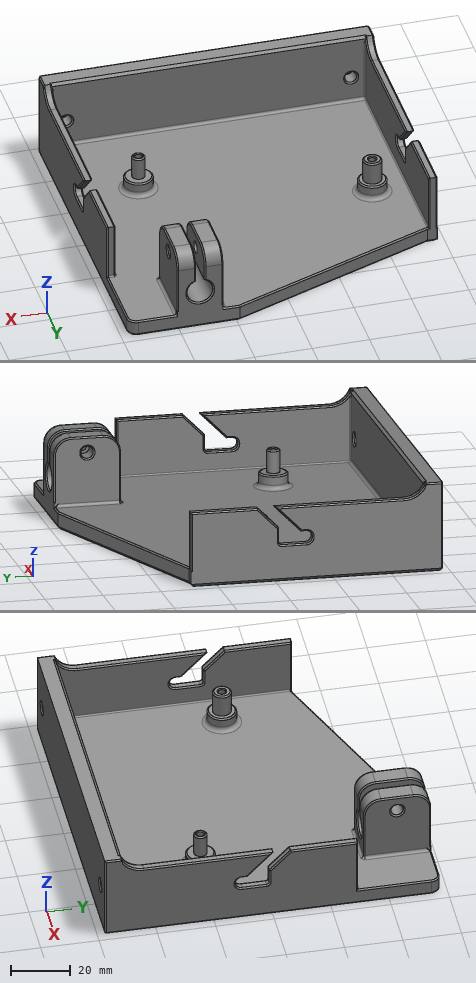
import cadquery as cq
import math

SIZE = 115.0
FLOOR_THICKNESS = 6.0
SLANT_END_X = 76.5
REAR_CORNER_RADIUS = 3.2
BOTTOM_CHAMFER = 1.0
EDGE_BREAK = 0.5

FRONT_HEIGHT = 31.0
FRONT_THICKNESS = 6.0
FRONT_TOP_CHAMFER = 0.9
FRONT_FILLET = 1.0
SCREW_HOLE_DIAMETER = 4.3
SCREW_HOLE_INSET = 7.9
SCREW_HOLE_Z = 15.3

SIDE_HEIGHT = 26.0
SIDE_THICKNESS = 3.0
SIDE_END_Y = 86.6
SIDE_FILLET = 0.5
SHOULDER_START_Y = 13.2
SHOULDER_RADIUS = 8.0

NOTCH_ENTRY_FRONT_Y = 57.6
NOTCH_ENTRY_WIDTH = 6.0
NOTCH_BACK_Y = 56.4
NOTCH_FLOOR_Z = 12.8
NOTCH_CORNER_RADIUS = 1.0
NOTCH_END_RADIUS = 2.2
NOTCH_END_Y = 46.9

LUG_WIDTH = 16.0
LUG_LENGTH = 23.0
LUG_HEIGHT = 29.9
LUG_CENTER_X = 90.3
LUG_CENTER_Y = SIZE - LUG_LENGTH / 2
LUG_RADIUS = 6.0
LUG_FILLET = 1.0
LUG_SLOT_WIDTH = 3.0
LUG_BORE_DIAMETER = 9.0
LUG_BORE_Z = 14.3
PIN_HOLE_DIAMETER = 4.3
PIN_HOLE_Z = 24.4

PEGS = [(15.4, 60.1, 6.4), (90.6, 37.6, 4.5)]
BOSS_DIAMETER = 10.0
BOSS_HEIGHT = 5.0
BOSS_FILLET = 1.6
PIN_HEIGHT = 8.0
PEG_BORE_DIAMETER = 2.5
PEG_MOUTH_DIAMETER = 3.2

TOLERANCE = 0.01


def floor_edges(x_min, x_max, y_min, y_max):
    """Select edges lying on the floor surface, by the position of their centres."""
    low = (x_min, y_min, FLOOR_THICKNESS - TOLERANCE)
    high = (x_max, y_max, FLOOR_THICKNESS + TOLERANCE)
    return cq.selectors.BoxSelector(low, high)


def floor_plate():
    slant_start_x = SIDE_THICKNESS + SIDE_FILLET
    outline = [
        (0, 0),
        (SIZE, 0),
        (SIZE, SIZE),
        (SLANT_END_X, SIZE),
        (slant_start_x, SIDE_END_Y),
        (0, SIDE_END_Y),
    ]
    plate = cq.Workplane("XY").polyline(outline).close().extrude(FLOOR_THICKNESS)
    plate = plate.edges("|Z and >X and >Y").fillet(REAR_CORNER_RADIUS)
    plate = plate.faces("<Z").edges().chamfer(BOTTOM_CHAMFER)
    return plate.faces(">Z").edges().chamfer(EDGE_BREAK)


def front_wall():
    wall = (
        cq.Workplane("XY", origin=(0, 0, BOTTOM_CHAMFER))
        .box(SIZE, FRONT_THICKNESS, FRONT_HEIGHT - BOTTOM_CHAMFER, centered=False)
    )
    wall = wall.edges(">Z and >Y").chamfer(FRONT_TOP_CHAMFER)
    return wall.faces(">Z").edges("|Y").chamfer(EDGE_BREAK)


def side_wall(x_start):
    notch_top_z = NOTCH_FLOOR_Z + 2 * NOTCH_END_RADIUS
    undercut_y = NOTCH_ENTRY_FRONT_Y - (SIDE_HEIGHT - notch_top_z)
    entry_back_y = NOTCH_ENTRY_FRONT_Y + NOTCH_ENTRY_WIDTH
    back_top_z = SIDE_HEIGHT - (entry_back_y - NOTCH_BACK_Y)
    corner_mid = NOTCH_CORNER_RADIUS * (1 - math.sqrt(0.5))

    rise = FRONT_HEIGHT - SIDE_HEIGHT
    shoulder_sweep = math.acos(1 - rise / SHOULDER_RADIUS)
    shoulder_end_y = SHOULDER_START_Y - SHOULDER_RADIUS * math.sin(shoulder_sweep)
    shoulder_mid_y = SHOULDER_START_Y - SHOULDER_RADIUS * math.sin(shoulder_sweep / 2)
    shoulder_mid_z = SIDE_HEIGHT + SHOULDER_RADIUS * (1 - math.cos(shoulder_sweep / 2))

    wall = (
        cq.Workplane("YZ", origin=(x_start, 0, 0))
        .moveTo(0, BOTTOM_CHAMFER)
        .lineTo(SIDE_END_Y, BOTTOM_CHAMFER)
        .lineTo(SIDE_END_Y, SIDE_HEIGHT)
        .lineTo(entry_back_y, SIDE_HEIGHT)
        .lineTo(NOTCH_BACK_Y, back_top_z)
        .lineTo(NOTCH_BACK_Y, NOTCH_FLOOR_Z + NOTCH_CORNER_RADIUS)
        .threePointArc(
            (NOTCH_BACK_Y - corner_mid, NOTCH_FLOOR_Z + corner_mid),
            (NOTCH_BACK_Y - NOTCH_CORNER_RADIUS, NOTCH_FLOOR_Z),
        )
        .lineTo(NOTCH_END_Y, NOTCH_FLOOR_Z)
        .threePointArc(
            (NOTCH_END_Y - NOTCH_END_RADIUS, NOTCH_FLOOR_Z + NOTCH_END_RADIUS),
            (NOTCH_END_Y, notch_top_z),
        )
        .lineTo(undercut_y, notch_top_z)
        .lineTo(NOTCH_ENTRY_FRONT_Y, SIDE_HEIGHT)
        .lineTo(SHOULDER_START_Y, SIDE_HEIGHT)
        .threePointArc((shoulder_mid_y, shoulder_mid_z), (shoulder_end_y, FRONT_HEIGHT))
        .lineTo(0, FRONT_HEIGHT)
        .close()
        .extrude(SIDE_THICKNESS)
    )
    exposed = cq.selectors.BoxSelector(
        (-TOLERANCE, 2 * EDGE_BREAK, FLOOR_THICKNESS),
        (SIZE + TOLERANCE, SIZE, SIZE),
    )
    return wall.edges("#X").edges(exposed).chamfer(EDGE_BREAK)


def lug_foot():
    """Low block that carries the fillet around the base of the lug."""
    foot_top = FLOOR_THICKNESS + 1.5 * LUG_FILLET
    return (
        cq.Workplane("XY", origin=(LUG_CENTER_X, LUG_CENTER_Y, BOTTOM_CHAMFER))
        .box(LUG_WIDTH, LUG_LENGTH, foot_top - BOTTOM_CHAMFER, centered=(True, True, False))
        .edges("|Z and <Y")
        .chamfer(EDGE_BREAK)
    )


def lug():
    blank = (
        cq.Workplane("XY", origin=(LUG_CENTER_X, LUG_CENTER_Y, FLOOR_THICKNESS))
        .box(LUG_WIDTH, LUG_LENGTH, LUG_HEIGHT - FLOOR_THICKNESS, centered=(True, True, False))
        .edges(">Z and |X")
        .fillet(LUG_RADIUS)
    )
    slot = (
        cq.Workplane("XY", origin=(LUG_CENTER_X, LUG_CENTER_Y, LUG_BORE_Z))
        .box(LUG_SLOT_WIDTH, LUG_LENGTH, LUG_HEIGHT, centered=(True, True, False))
    )
    cheek_edges = blank.cut(slot).edges("#X").edges("not <Z")
    slot_floor = cq.selectors.BoxSelector(
        (0, LUG_CENTER_Y - TOLERANCE, LUG_BORE_Z - TOLERANCE),
        (SIZE, LUG_CENTER_Y + TOLERANCE, LUG_BORE_Z + TOLERANCE),
    )
    return cheek_edges.edges(cq.selectors.InverseSelector(slot_floor)).chamfer(EDGE_BREAK)


def peg(x, y, pin_diameter):
    boss_radius = BOSS_DIAMETER / 2
    pin_radius = pin_diameter / 2
    top = BOSS_HEIGHT + PIN_HEIGHT
    fillet_mid = BOSS_FILLET * (1 - math.sqrt(0.5))
    return (
        cq.Workplane("XZ")
        .moveTo(0, -EDGE_BREAK)
        .lineTo(boss_radius + BOSS_FILLET, -EDGE_BREAK)
        .lineTo(boss_radius + BOSS_FILLET, 0)
        .threePointArc((boss_radius + fillet_mid, fillet_mid), (boss_radius, BOSS_FILLET))
        .lineTo(boss_radius, BOSS_HEIGHT - EDGE_BREAK)
        .lineTo(boss_radius - EDGE_BREAK, BOSS_HEIGHT)
        .lineTo(pin_radius, BOSS_HEIGHT)
        .lineTo(pin_radius, top - EDGE_BREAK)
        .lineTo(pin_radius - EDGE_BREAK, top)
        .lineTo(0, top)
        .close()
        .revolve()
        .translate((x, y, FLOOR_THICKNESS))
    )


def hole_cutter(diameter, length, flare):
    """Round cutter along +Y from the origin, widened at both ends by a 45 degree flare."""
    radius = diameter / 2
    outline = [
        (0, 0),
        (radius + flare, 0),
        (radius, flare),
        (radius, length - flare),
        (radius + flare, length),
        (0, length),
    ]
    return cq.Workplane("XY").polyline(outline).close().revolve(axisStart=(0, 0), axisEnd=(0, 1))


def lug_holes():
    bore = hole_cutter(LUG_BORE_DIAMETER, LUG_LENGTH, EDGE_BREAK)
    bore = bore.translate((LUG_CENTER_X, SIZE - LUG_LENGTH, LUG_BORE_Z))
    pin_hole = hole_cutter(PIN_HOLE_DIAMETER, LUG_WIDTH, EDGE_BREAK).rotate((0, 0, 0), (0, 0, 1), -90)
    pin_hole = pin_hole.translate((LUG_CENTER_X - LUG_WIDTH / 2, LUG_CENTER_Y, PIN_HOLE_Z))
    return bore.union(pin_hole)


def peg_bore(x, y):
    length = FLOOR_THICKNESS + BOSS_HEIGHT + PIN_HEIGHT
    flare = (PEG_MOUTH_DIAMETER - PEG_BORE_DIAMETER) / 2
    cutter = hole_cutter(PEG_BORE_DIAMETER, length, flare)
    return cutter.rotate((0, 0, 0), (1, 0, 0), 90).translate((x, y, 0))


def front_corner_cutter(x):
    """Square bar on its edge that bevels one front vertical corner."""
    return (
        cq.Workplane("XY", origin=(x, 0, 0))
        .polyline([(-EDGE_BREAK, 0), (0, -EDGE_BREAK), (EDGE_BREAK, 0), (0, EDGE_BREAK)])
        .close()
        .extrude(FRONT_HEIGHT)
    )


tray = floor_plate().union(front_wall())
tray = tray.union(side_wall(0)).union(side_wall(SIZE - SIDE_THICKNESS))

inner_left = SIDE_THICKNESS
inner_right = SIZE - SIDE_THICKNESS
front_line = floor_edges(inner_left, inner_right, 0, FRONT_THICKNESS + TOLERANCE)
left_line = floor_edges(0, inner_left + TOLERANCE, FRONT_THICKNESS, SIDE_END_Y - 2 * EDGE_BREAK)
right_lines = floor_edges(
    inner_right - TOLERANCE, SIZE - EDGE_BREAK, 2 * FRONT_THICKNESS, SIDE_END_Y + TOLERANCE
)
tray = tray.edges(front_line).fillet(FRONT_FILLET)
tray = tray.edges(left_line).fillet(SIDE_FILLET)
tray = tray.edges(right_lines).fillet(SIDE_FILLET)

for corner_x in (0, SIZE):
    tray = tray.cut(front_corner_cutter(corner_x))

for screw_x in (SCREW_HOLE_INSET, SIZE - SCREW_HOLE_INSET):
    screw_hole = hole_cutter(SCREW_HOLE_DIAMETER, FRONT_THICKNESS, EDGE_BREAK)
    tray = tray.cut(screw_hole.translate((screw_x, 0, SCREW_HOLE_Z)))

foot_lines = floor_edges(
    LUG_CENTER_X - LUG_WIDTH / 2 - TOLERANCE,
    LUG_CENTER_X + LUG_WIDTH / 2 + TOLERANCE,
    SIZE - LUG_LENGTH - TOLERANCE,
    SIZE - EDGE_BREAK - TOLERANCE,
)
tray = tray.union(lug_foot()).edges(foot_lines).fillet(LUG_FILLET)
tray = tray.union(lug()).cut(lug_holes())

for peg_x, peg_y, peg_pin_diameter in PEGS:
    tray = tray.union(peg(peg_x, peg_y, peg_pin_diameter)).cut(peg_bore(peg_x, peg_y))

result = tray